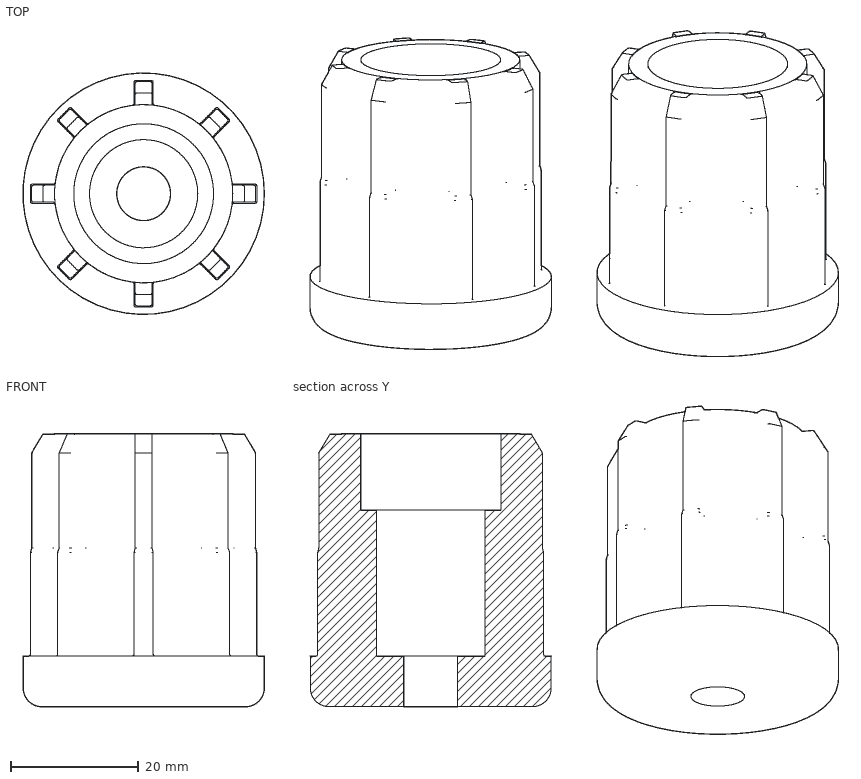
import cadquery as cq
import math

total_height = 43.0
small_radius = 0.3

flange_radius = 19.0
flange_height = 8.0
flange_rounding = 3.0

tube_radius = 14.0
bore_radius = 11.0
bore_depth = 12.05
lower_bore_radius = 8.5
through_hole_radius = 4.2

rib_count = 8
rib_width = 3.0
rib_reach = 17.8
rib_step = 0.17
ramp_bottom = 24.3
ramp_height = 0.7
rib_top_drop = 0.1
tip_chamfer_width = 1.75
tip_chamfer_height = 2.95

ramp_top = ramp_bottom + ramp_height
rib_top = total_height - rib_top_drop
rib_root = (bore_radius + tube_radius) / 2

tolerance = 0.02


def cylinder(radius, bottom, top):
    return cq.Workplane("XY").workplane(offset=bottom).circle(radius).extrude(top - bottom)


def radius_of(point):
    """Distance of a point from the part's axis."""
    return math.hypot(point.x, point.y)


def rises(edge):
    """True for an edge that is not level."""
    box = edge.BoundingBox()
    return box.zmax - box.zmin > tolerance


def rib_section(set_back, height):
    """Rectangle across a rib along +X, set back from the full-size outline."""
    length = rib_reach - set_back - rib_root
    plane = cq.Workplane("XY").workplane(offset=height)
    return plane.center(rib_root + length / 2, 0).rect(length, rib_width - 2 * set_back)


def make_rib():
    """One rib along +X with a sloped tip and rounded long outer edges."""
    lower = rib_section(0, flange_height).extrude(ramp_bottom - flange_height)
    upper = rib_section(rib_step, ramp_top).extrude(rib_top - ramp_top)
    ramp_ends = [
        rib_section(0, ramp_bottom).wires().val(),
        rib_section(rib_step, ramp_top).wires().val(),
    ]
    ramp = cq.Workplane(cq.Solid.makeLoft(ramp_ends, True))
    tip_reach = rib_reach - rib_step
    tip_wedge = (
        cq.Workplane("XZ")
        .moveTo(tip_reach - tip_chamfer_width, rib_top)
        .lineTo(tip_reach, rib_top)
        .lineTo(tip_reach, rib_top - tip_chamfer_height)
        .close()
        .extrude(rib_width, both=True)
    )
    rib = lower.union(ramp).union(upper).cut(tip_wedge)
    long_edges = [edge for edge in rib.edges().vals() if rises(edge) and edge.Center().x > tube_radius]
    return rib.newObject(long_edges).fillet(small_radius)


def make_ribbed_tube():
    """Solid tube blank with all ribs, blended where the ribs meet it."""
    tube = cylinder(tube_radius, 0, total_height)
    rib = make_rib()
    for index in range(rib_count):
        tube = tube.union(rib.rotate((0, 0, 0), (0, 0, 1), index * 360 / rib_count))
    root_edges = [
        edge
        for edge in tube.edges().vals()
        if rises(edge)
        and edge.Center().z > flange_height
        and abs(radius_of(edge.Center()) - tube_radius) < tolerance
    ]
    return tube.newObject(root_edges).fillet(small_radius)


def add_flange(tube):
    """Join the rounded flange and blend the tube and ribs into its top face."""
    flange = cylinder(flange_radius, 0, flange_height).faces("<Z").edges().fillet(flange_rounding)
    body = tube.union(flange)
    base_edges = [
        edge
        for edge in body.edges().vals()
        if not rises(edge)
        and abs(edge.Center().z - flange_height) < tolerance
        and radius_of(edge.startPoint()) < flange_radius - tolerance
    ]
    return body.newObject(base_edges).fillet(small_radius)


def cut_bores(body):
    """Open bore, narrower bore down to the flange, and a hole through the floor."""
    bore = cylinder(bore_radius, total_height - bore_depth, total_height)
    lower_bore = cylinder(lower_bore_radius, flange_height, total_height)
    through_hole = cylinder(through_hole_radius, 0, total_height)
    return body.cut(bore).cut(lower_bore).cut(through_hole)


result = cut_bores(add_flange(make_ribbed_tube()))